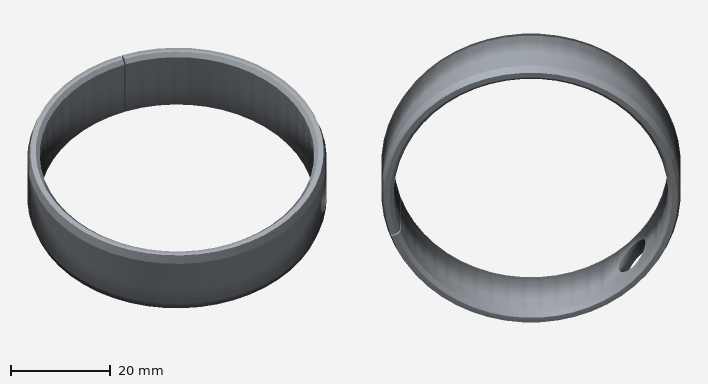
import cadquery as cq
import math

outer_radius = 30.0
inner_radius = 27.5
ring_width = 15.0

outer_bevel_radial = 0.6
outer_bevel_axial = 1.8

inner_bevel_radial = 0.8
inner_bevel_axial = 0.8

split_gap = 0.3
split_offset = 0.3

hole_diameter = 8.0
hole_reach = outer_radius + 1.0
hole_angle = 59.0


def make_ring():
    """Revolve the bevelled wall section about Z, centred on the XY plane."""
    top = ring_width / 2
    section = [
        (inner_radius, top - inner_bevel_axial),
        (inner_radius + inner_bevel_radial, top),
        (outer_radius - outer_bevel_radial, top),
        (outer_radius, top - outer_bevel_axial),
        (outer_radius, outer_bevel_axial - top),
        (outer_radius - outer_bevel_radial, -top),
        (inner_radius + inner_bevel_radial, -top),
        (inner_radius, inner_bevel_axial - top),
    ]
    return cq.Workplane("XZ").polyline(section).close().revolve(360, (0, 0), (0, 1))


def make_split():
    """Thin block that cuts the wall through on the -X side."""
    block = cq.Workplane("XY").box(outer_radius, split_gap, ring_width)
    return block.translate((-outer_radius, split_offset, 0))


def make_hole():
    """Cylinder running outward from the axis through one wall."""
    angle = math.radians(hole_angle)
    direction = cq.Vector(math.cos(angle), math.sin(angle), 0)
    return cq.Workplane(
        cq.Solid.makeCylinder(hole_diameter / 2, hole_reach, cq.Vector(0, 0, 0), direction)
    )


result = make_ring().cut(make_split()).cut(make_hole())